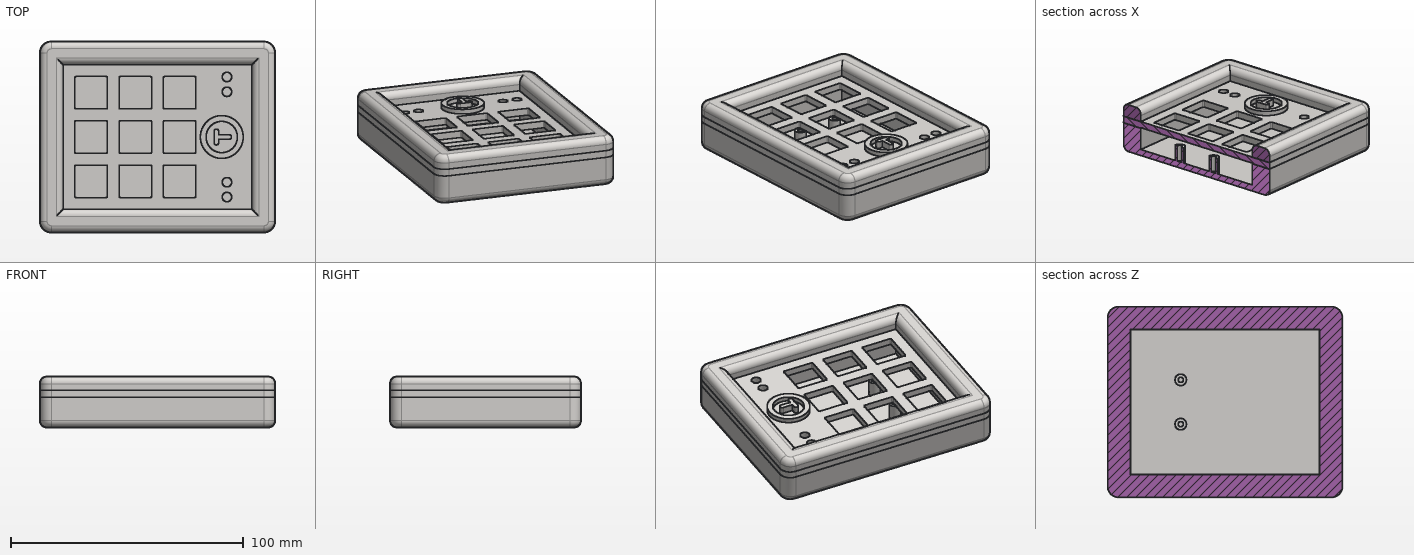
import cadquery as cq

LENGTH = 101.2
WIDTH = 82.1
HEIGHT = 22.0
CORNER_RADIUS = 5.0
EDGE_ROUND = 3.0
WALL = 10.0

PLATE_THICKNESS = 3.0
FRAME_HEIGHT = 6.0
BASE_HEIGHT = HEIGHT - PLATE_THICKNESS - FRAME_HEIGHT
PLATE_TOP = BASE_HEIGHT + PLATE_THICKNESS
FLOOR_THICKNESS = 3.0
CAVITY_LENGTH = LENGTH - 2 * WALL
CAVITY_WIDTH = WIDTH - 2 * WALL

KEY_ROWS = 3
KEY_COLUMNS = 3
KEY_PITCH = 19.0
KEY_WINDOW = 14.0
KEY_CORNER_RADIUS = 0.5
KEY_GRID_X = -9.5

STANDOFF_DIAMETER = 5.0
STANDOFF_BORE = 2.2
STANDOFF_HEIGHT = 7.1
STANDOFF_X = KEY_GRID_X - KEY_PITCH / 2
STANDOFF_Y = KEY_PITCH / 2

SMALL_HOLE_DIAMETER = 4.0
SMALL_HOLE_X = 29.8
SMALL_HOLE_INNER_Y = 19.4
SMALL_HOLE_OUTER_Y = 25.8

RING_X = 27.6
RING_OUTER_DIAMETER = 18.4
RING_INNER_DIAMETER = 13.5
RING_HEIGHT = 2.0
T_HEIGHT = 3.0
T_BAR_WIDTH = 2.0
T_BAR_LENGTH = 6.9
T_BAR_X = 25.3
T_STEM_END_X = 31.8


def layer(height, bottom):
    """Slab with the rounded outline shared by all three bodies."""
    return (
        cq.Workplane("XY", origin=(0, 0, bottom))
        .rect(LENGTH, WIDTH)
        .extrude(height)
        .edges("|Z")
        .fillet(CORNER_RADIUS)
    )


def cylinder(diameter, height, x, y, bottom):
    return cq.Workplane("XY", origin=(x, y, bottom)).circle(diameter / 2).extrude(height)


def make_base():
    """Open tray with a rounded bottom edge and hollow standoffs on its floor."""
    base = layer(BASE_HEIGHT, 0).faces("<Z").edges().fillet(EDGE_ROUND)
    cavity = (
        cq.Workplane("XY", origin=(0, 0, FLOOR_THICKNESS))
        .rect(CAVITY_LENGTH, CAVITY_WIDTH)
        .extrude(BASE_HEIGHT - FLOOR_THICKNESS)
    )
    base = base.cut(cavity)
    for y in (-STANDOFF_Y, STANDOFF_Y):
        standoff = cylinder(STANDOFF_DIAMETER, STANDOFF_HEIGHT, STANDOFF_X, y, FLOOR_THICKNESS)
        bore = cylinder(STANDOFF_BORE, STANDOFF_HEIGHT, STANDOFF_X, y, FLOOR_THICKNESS)
        base = base.union(standoff.cut(bore))
    return base


def make_t_key():
    """T-shaped boss with rounded ends, its stem pointing along +X."""
    stem_length = T_STEM_END_X - T_BAR_X + T_BAR_WIDTH / 2
    stem_x = T_STEM_END_X - stem_length / 2
    bar = (
        cq.Workplane("XY", origin=(T_BAR_X, 0, PLATE_TOP))
        .slot2D(T_BAR_LENGTH, T_BAR_WIDTH, 90)
        .extrude(T_HEIGHT)
    )
    stem = (
        cq.Workplane("XY", origin=(stem_x, 0, PLATE_TOP))
        .slot2D(stem_length, T_BAR_WIDTH)
        .extrude(T_HEIGHT)
    )
    return bar.union(stem)


def make_plate():
    """Plate with key windows, small round holes, a raised ring and a T-shaped key."""
    plate = layer(PLATE_THICKNESS, BASE_HEIGHT)
    windows = (
        cq.Workplane("XY", origin=(KEY_GRID_X, 0, BASE_HEIGHT))
        .rarray(KEY_PITCH, KEY_PITCH, KEY_COLUMNS, KEY_ROWS)
        .rect(KEY_WINDOW, KEY_WINDOW)
        .extrude(PLATE_THICKNESS)
        .edges("|Z")
        .fillet(KEY_CORNER_RADIUS)
    )
    plate = plate.cut(windows)
    for y in (SMALL_HOLE_INNER_Y, SMALL_HOLE_OUTER_Y):
        for side in (-1, 1):
            hole = cylinder(SMALL_HOLE_DIAMETER, PLATE_THICKNESS, SMALL_HOLE_X, side * y, BASE_HEIGHT)
            plate = plate.cut(hole)
    ring = cylinder(RING_OUTER_DIAMETER, RING_HEIGHT, RING_X, 0, PLATE_TOP)
    ring = ring.cut(cylinder(RING_INNER_DIAMETER, RING_HEIGHT, RING_X, 0, PLATE_TOP))
    return plate.union(ring).union(make_t_key())


def make_frame():
    """Open frame, rounded along the outer and inner top edges."""
    frame = layer(FRAME_HEIGHT, PLATE_TOP)
    opening = (
        cq.Workplane("XY", origin=(0, 0, PLATE_TOP))
        .rect(CAVITY_LENGTH, CAVITY_WIDTH)
        .extrude(FRAME_HEIGHT)
    )
    return frame.cut(opening).faces(">Z").edges().fillet(EDGE_ROUND)


base = make_base()
plate = make_plate()
frame = make_frame()

result = cq.Compound.makeCompound([base.val(), plate.val(), frame.val()])